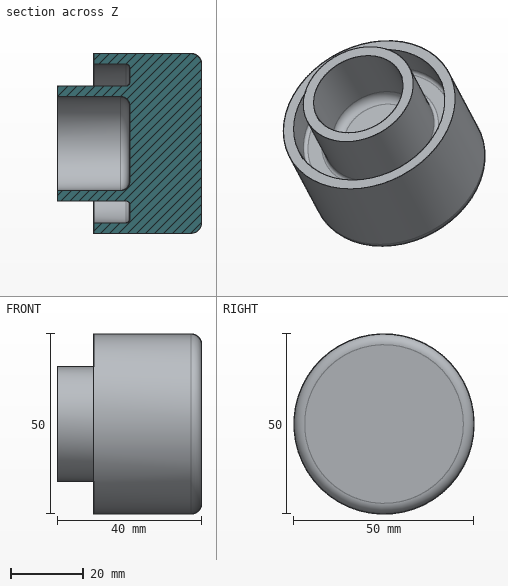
import cadquery as cq

cup_diameter = 50
cup_length = 30
rim_radius = 3
cup_wall = 3
end_thickness = 20
tube_diameter = 32
tube_bore_diameter = 26
tube_projection = 10
ring_floor_radius = 1
bore_floor_radius = 2.5

total_length = cup_length + tube_projection
cup_bore_diameter = cup_diameter - 2 * cup_wall
floor_x = total_length - end_thickness


def cylinder(diameter, start_x, end_x):
    """Solid cylinder on the X axis."""
    return cq.Workplane("YZ", origin=(start_x, 0, 0)).circle(diameter / 2).extrude(end_x - start_x)


cup = cylinder(cup_diameter, tube_projection, total_length).faces(">X").edges().fillet(rim_radius)

ring_pocket = cylinder(cup_bore_diameter, tube_projection, floor_x)
ring_pocket = ring_pocket.cut(cylinder(tube_diameter, tube_projection, floor_x))
ring_pocket = ring_pocket.faces(">X").edges().fillet(ring_floor_radius)

tube_bore = cylinder(tube_bore_diameter, 0, floor_x).faces(">X").edges().fillet(bore_floor_radius)

tube = cylinder(tube_diameter, 0, floor_x)

result = cup.cut(ring_pocket).union(tube).cut(tube_bore)